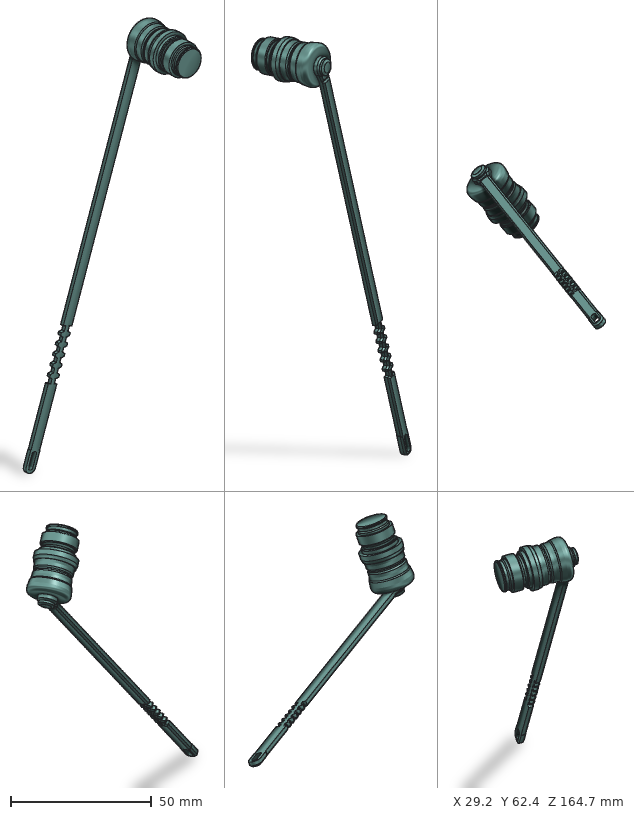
import cadquery as cq
import math


pin_diameter = 4.0
button_diameter = 6.1
button_thickness = 1.3
button_chamfer = 0.5

strap_thickness = 2.1
strap_angle = 18.65
strap_width = 4.3
strap_end = 109.2
strap_bevel = 0.7
eye_radius = 3.6
eye_neck_end = 5.5
eye_neck_recess = 0.25
eye_neck_angle = 35
spine_width = 1.8
bead_count = 5
first_bead = 112.4
bead_pitch = 4.0
bead_width = 4.5
bead_length = 2.3
bead_rim_length = 1.0
tail_start = 131.3
loop_radius = 2.3
loop_start = 156.4
loop_end_center = 163.0
slot_width = 2.0
slot_start = 156.9

cap_front = button_thickness + strap_thickness
cap_end = 29.2
grip_radius = 8.0
grip_shoulder_radius = 7.7
grip_front_round = 1.6
grip_front_land = 1.0
grip_front_bevel = 0.5
grip_rear_bevel = 0.8
grip_rear_crown_radius = 7.9
grip_rear_crown = 0.5
grip_end = 18.8
waist_radius = 7.4
waist_floor_radius = 7.3
waist_bevel = 1.2
waist_start = 8.7
waist_end = 15.5
grip_groove_width = 1.8
grip_groove_slope = 0.7
grip_groove_depth = 0.3
collar_radius = 6.8
collar_end = 20.5
collar_chamfer = 0.3
neck_radius = 5.8
seat_length = 0.8
seat_height = 0.3
ring_start = 22.0
ring_end = 25.9
ring_chamfer = 0.3
tip_groove_start = 26.7
tip_groove_end = 28.3
tip_groove_depth = 0.3
tip_groove_slope = 0.5
tip_chamfer = 0.3


def make_cap():
    """Stepped cap with a waisted grip, a collar, a sealing ring and a grooved tip."""
    round_end = cap_front + grip_front_round
    round_rise = grip_front_round * math.sin(math.radians(45))
    waist_middle = (waist_start + waist_end) / 2
    groove_start = waist_middle - grip_groove_width / 2
    groove_end = waist_middle + grip_groove_width / 2
    groove_radius = waist_floor_radius - grip_groove_depth
    crown_start = waist_end + grip_rear_bevel
    profile = (
        cq.Workplane("XY")
        .moveTo(cap_front, 0)
        .lineTo(cap_front, grip_radius - grip_front_round)
        .threePointArc(
            (round_end - round_rise, grip_radius - grip_front_round + round_rise),
            (round_end, grip_radius),
        )
        .lineTo(round_end + grip_front_land, grip_radius)
        .lineTo(waist_start - grip_front_bevel, grip_shoulder_radius)
        .lineTo(waist_start, waist_radius)
        .lineTo(waist_start + waist_bevel, waist_floor_radius)
        .lineTo(groove_start, waist_floor_radius)
        .lineTo(groove_start + grip_groove_slope, groove_radius)
        .lineTo(groove_end - grip_groove_slope, groove_radius)
        .lineTo(groove_end, waist_floor_radius)
        .lineTo(waist_end - waist_bevel, waist_floor_radius)
        .lineTo(waist_end, waist_radius)
        .lineTo(waist_end, grip_shoulder_radius)
        .lineTo(crown_start, grip_rear_crown_radius)
        .lineTo(crown_start + grip_rear_crown, grip_radius)
        .lineTo(grip_end, grip_radius)
        .lineTo(grip_end, collar_radius)
        .lineTo(collar_end - collar_chamfer, collar_radius)
        .lineTo(collar_end, collar_radius - collar_chamfer)
        .lineTo(collar_end, neck_radius)
        .lineTo(ring_start - seat_length, neck_radius)
        .lineTo(ring_start, neck_radius + seat_height)
        .lineTo(ring_start, collar_radius - ring_chamfer)
        .lineTo(ring_start + ring_chamfer, collar_radius)
        .lineTo(ring_end, collar_radius)
        .lineTo(ring_end, neck_radius)
        .lineTo(tip_groove_start, neck_radius)
        .lineTo(tip_groove_start + tip_groove_slope, neck_radius - tip_groove_depth)
        .lineTo(tip_groove_end, neck_radius - tip_groove_depth)
        .lineTo(tip_groove_end, neck_radius)
        .lineTo(cap_end - tip_chamfer, neck_radius)
        .lineTo(cap_end, neck_radius - tip_chamfer)
        .lineTo(cap_end, 0)
        .close()
    )
    return profile.revolve(360, (0, 0, 0), (1, 0, 0))


def make_button():
    """Chamfered button on the pin that passes through the strap eye."""
    head = cq.Workplane("YZ").circle(button_diameter / 2).extrude(button_thickness)
    head = head.faces("<X").chamfer(button_chamfer, (button_diameter - pin_diameter) / 2)
    pin = cq.Workplane("YZ").workplane(offset=button_chamfer).circle(pin_diameter / 2).extrude(cap_front)
    return head.union(pin)


def strap_plane(distance):
    """Front face of the strap, centred at a distance below the eye."""
    return cq.Workplane("YZ", origin=(button_thickness, 0, -distance))


def strap_bar(width, start, end):
    return strap_plane((start + end) / 2).rect(width, end - start).extrude(strap_thickness)


def strap_disc(radius, distance):
    return strap_plane(distance).circle(radius).extrude(strap_thickness)


def bevel_front(solid):
    """Bevel every edge of the face that points away from the cap."""
    return solid.faces("<X").edges().chamfer(strap_bevel)


def make_eye():
    """Bevelled eye with a recessed, bevelled neck that narrows to the strap width."""
    tangent = math.radians(eye_neck_angle)
    neck_top = eye_radius * math.sin(tangent)
    neck_half_width = eye_radius * math.cos(tangent)
    neck = (
        strap_plane(0)
        .workplane(offset=eye_neck_recess)
        .moveTo(-neck_half_width, -neck_top)
        .lineTo(neck_half_width, -neck_top)
        .lineTo(strap_width / 2, -eye_neck_end)
        .lineTo(-strap_width / 2, -eye_neck_end)
        .close()
        .extrude(strap_thickness - eye_neck_recess)
    )
    return bevel_front(strap_disc(eye_radius, 0)).union(bevel_front(neck))


def make_bead(distance):
    """Octagonal bead that tapers from its rim to its two ends."""
    rim = bead_width / 2
    half_spine = spine_width / 2
    half_length = bead_length / 2
    half_rim = bead_rim_length / 2
    return (
        strap_plane(distance)
        .moveTo(-half_spine, half_length)
        .lineTo(half_spine, half_length)
        .lineTo(rim, half_rim)
        .lineTo(rim, -half_rim)
        .lineTo(half_spine, -half_length)
        .lineTo(-half_spine, -half_length)
        .lineTo(-rim, -half_rim)
        .lineTo(-rim, half_rim)
        .close()
        .extrude(strap_thickness)
    )


def make_strap():
    strap = strap_bar(strap_width, eye_neck_end, strap_end)
    strap = strap.union(strap_bar(spine_width, strap_end, tail_start))
    for index in range(bead_count):
        strap = strap.union(make_bead(first_bead + index * bead_pitch))
    strap = strap.union(strap_bar(strap_width, tail_start, loop_start))
    strap = strap.union(strap_bar(2 * loop_radius, loop_start, loop_end_center))
    strap = strap.union(strap_disc(loop_radius, loop_end_center)).clean()
    strap = bevel_front(strap).union(make_eye())
    slot_end = loop_end_center + slot_width / 2
    slot = (
        strap_plane((slot_start + slot_end) / 2)
        .slot2D(slot_end - slot_start, slot_width, 90)
        .extrude(strap_thickness)
    )
    return strap.cut(slot).rotate((0, 0, 0), (1, 0, 0), -strap_angle)


result = make_cap().union(make_button()).union(make_strap())